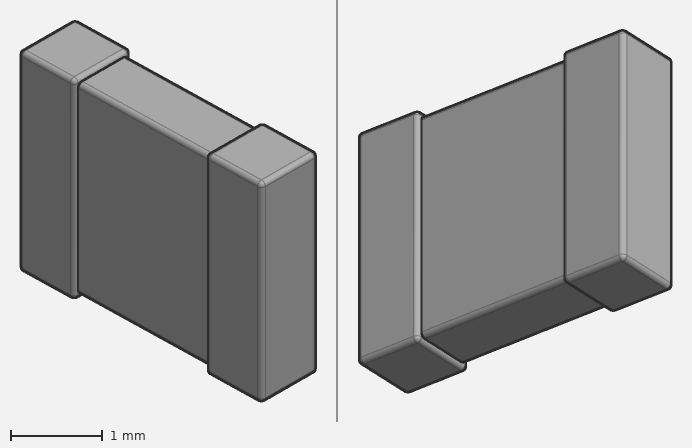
import cadquery as cq

length = 3.7
depth = 0.88
height = 2.9

terminal_length = 0.85
terminal_step = 0.06
edge_radius = 0.06

body_length = length - 2 * terminal_length
body_depth = depth - 2 * terminal_step
body_height = height - 2 * terminal_step

terminal_offset = (length - terminal_length) / 2


def make_body():
    """Central block with its four lengthwise edges rounded."""
    return cq.Workplane("XY").box(body_length, body_depth, body_height).edges("|X").fillet(edge_radius)


def make_terminal(center_x):
    """End block with every edge rounded."""
    block = cq.Workplane("XY").box(terminal_length, depth, height).edges().fillet(edge_radius)
    return block.translate((center_x, 0, 0))


body = make_body()
terminals = [make_terminal(side * terminal_offset) for side in (-1, 1)]

result = cq.Compound.makeCompound([body.val(), *[terminal.val() for terminal in terminals]])